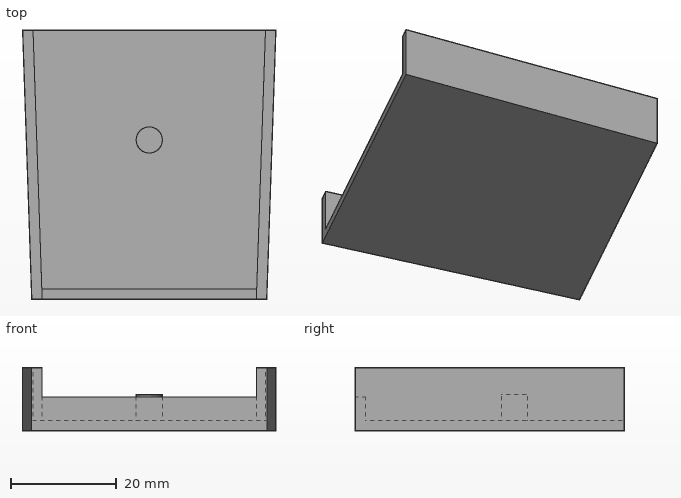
import cadquery as cq

length = 51.0
back_width = 48.0
front_width = 44.5
height = 12.0
wall = 2.0
floor_thickness = 2.0
front_wall_height = 6.45

pin_diameter = 4.95
pin_top = 6.9
pin_from_back = 20.8

front_y = -length / 2
back_y = length / 2


def tapered_block(side_inset, bottom, top):
    """Symmetric trapezoidal block over the full length, narrowed by side_inset on each side."""
    front_x = front_width / 2 - side_inset
    back_x = back_width / 2 - side_inset
    outline = [(-front_x, front_y), (front_x, front_y), (back_x, back_y), (-back_x, back_y)]
    return cq.Workplane("XY").workplane(offset=bottom).polyline(outline).close().extrude(top - bottom)


body = tapered_block(0, 0, height)
cavity = tapered_block(wall, floor_thickness, height)
front_strip = cq.Workplane("XY").box(back_width, wall, front_wall_height, centered=(True, False, False))
front_wall = body.intersect(front_strip.translate((0, front_y, 0)))
tray = body.cut(cavity).union(front_wall)

pin = (
    cq.Workplane("XY")
    .center(0, back_y - pin_from_back)
    .circle(pin_diameter / 2)
    .extrude(pin_top)
)

result = tray.union(pin)